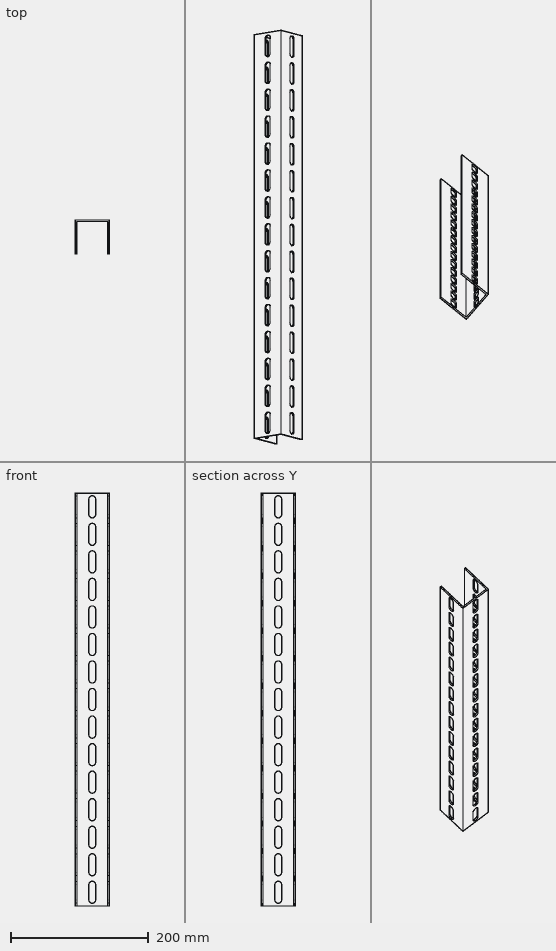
import cadquery as cq

length = 600.0
width = 50.0
depth = 50.0
wall = 2.5

slot_count = 15
slot_pitch = length / slot_count
slot_length = 32.0
slot_width = 9.5
flange_slot_offset = 1.0


def channel():
    """Two flanges joined by a web on the +Y side, centred on the origin."""
    outer = cq.Workplane("XY").box(width, depth, length)
    inside = cq.Workplane("XY").box(width - 2 * wall, depth, length).translate((0, -wall, 0))
    return outer.cut(inside)


def slot_row(plane, cut_length):
    """Row of upright slot cutters, reaching equally to both sides of the plane."""
    return (
        cq.Workplane(plane)
        .rarray(slot_pitch, slot_pitch, 1, slot_count)
        .slot2D(slot_length, slot_width, 90)
        .extrude(cut_length / 2, both=True)
    )


web_slots = slot_row("XZ", 2 * depth)
flange_slots = slot_row("YZ", 2 * width).translate((0, -flange_slot_offset, 0))

result = channel().cut(web_slots).cut(flange_slots)